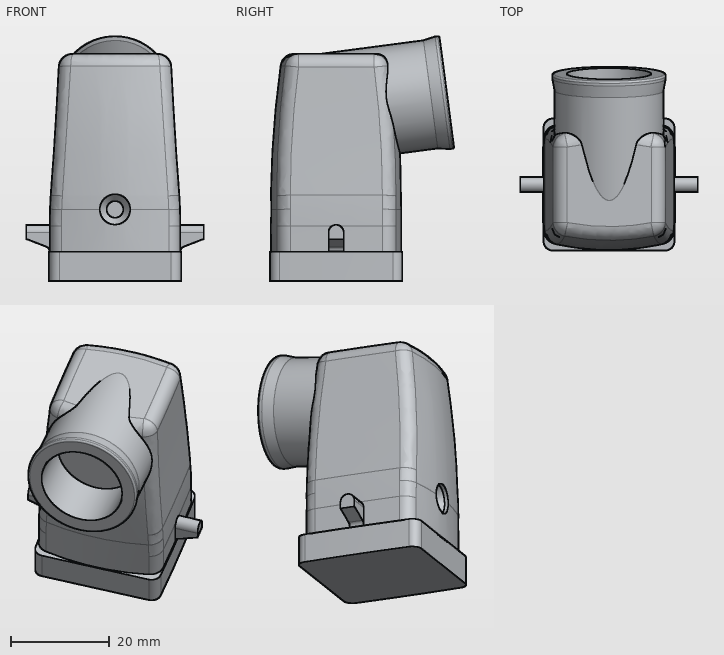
import cadquery as cq
import math

base_width = 26.9
base_depth = 26.8
base_height = 5.95
base_corner_radius = 2.0
side_bow_radius = 421.85

hood_height = 46.05
hood_half_width = 13.25
hood_half_depth = 13.25
front_bow_radius = 49.65
wall_sweep = 90.0
hood_corner_radius = 2.9
hood_top_fillet = 2.85
side_bend_start = 11.25
side_bend_end = 17.45
side_taper = math.radians(3.6)
front_curve_start = 14.55
front_curve_radius = 213.4

tube_tilt = 7.5
tube_radius = 11.05
tube_length = 26.3
rim_y = 22.45
rim_z = 38.25
rim_radius = 11.5
rim_round = 0.4
rim_band = 0.55
rim_flare = 2.45
bore_radius = 8.55
bore_depth = 10.9

pin_span = 36.0
pin_width = 3.1
pin_top = 11.4
pin_tip_bottom = 8.55
pin_slope = math.radians(21)
pin_root_radius = 1.0
pin_overlap = 2.0

recess_z = front_curve_start
recess_radius = 3.1
recess_floor_radius = 1.7
recess_straight_depth = 0.9
recess_depth = 2.7


def make_base():
    """Collar with two bowed sides and rounded corners."""
    half_x = base_width / 2
    half_y = base_depth / 2
    end_x = half_x - side_bow_radius + math.sqrt(side_bow_radius**2 - half_y**2)
    return (
        cq.Workplane("XY")
        .moveTo(-end_x, -half_y)
        .lineTo(end_x, -half_y)
        .threePointArc((half_x, 0), (end_x, half_y))
        .lineTo(-end_x, half_y)
        .threePointArc((-half_x, 0), (-end_x, -half_y))
        .close()
        .extrude(base_height)
        .edges("|Z")
        .fillet(base_corner_radius)
    )


def bowed_barrel(profile, half_size, bow_radius, side_angle):
    """Solid under a profile (distance, height) whose outer wall is bowed in plan.

    The profile is swept about a vertical axis lying bow_radius behind the crown
    of the wall, and turned to face the direction side_angle.
    """
    axis_x = half_size - bow_radius
    return (
        profile.revolve(wall_sweep, (axis_x, 0, 0), (axis_x, 1, 0))
        .rotate((axis_x, 0, 0), (axis_x, 0, 1), -wall_sweep / 2)
        .rotate((0, 0, 0), (0, 0, 1), side_angle)
    )


def side_profile():
    """Vertical wall, tangent bend, then a straight taper."""
    bend_radius = (side_bend_end - side_bend_start) / math.sin(side_taper)
    bend_x = hood_half_width - bend_radius * (1 - math.cos(side_taper))
    mid_x = hood_half_width - bend_radius * (1 - math.cos(side_taper / 2))
    mid_z = side_bend_start + bend_radius * math.sin(side_taper / 2)
    top_x = bend_x - (hood_height - side_bend_end) * math.tan(side_taper)
    return (
        cq.Workplane("XZ")
        .moveTo(-base_width, 0)
        .lineTo(hood_half_width, 0)
        .lineTo(hood_half_width, side_bend_start)
        .threePointArc((mid_x, mid_z), (bend_x, side_bend_end))
        .lineTo(top_x, hood_height)
        .lineTo(-base_width, hood_height)
        .close()
    )


def front_profile():
    """Vertical wall continued by one tangent arc up to the top."""
    curve_angle = math.asin((hood_height - front_curve_start) / front_curve_radius)
    mid_x = hood_half_depth - front_curve_radius * (1 - math.cos(curve_angle / 2))
    mid_z = front_curve_start + front_curve_radius * math.sin(curve_angle / 2)
    top_x = hood_half_depth - front_curve_radius * (1 - math.cos(curve_angle))
    return (
        cq.Workplane("XZ")
        .moveTo(-hood_half_depth, 0)
        .lineTo(hood_half_depth, 0)
        .lineTo(hood_half_depth, front_curve_start)
        .threePointArc((mid_x, mid_z), (top_x, hood_height))
        .lineTo(-hood_half_depth, hood_height)
        .close()
    )


def make_hood():
    """Common volume of four bowed walls, with rounded corners and top edge."""
    hood = bowed_barrel(side_profile(), hood_half_width, side_bow_radius, 0)
    hood = hood.intersect(bowed_barrel(side_profile(), hood_half_width, side_bow_radius, 180))
    for side_angle in (-90, 90):
        wall = bowed_barrel(front_profile(), hood_half_depth, front_bow_radius, side_angle)
        hood = hood.intersect(wall)
    between_faces = cq.selectors.BoxSelector(
        (-base_width, -base_depth, base_height / 2),
        (base_width, base_depth, hood_height - hood_top_fillet),
    )
    hood = hood.edges(between_faces).fillet(hood_corner_radius)
    return hood.faces(">Z").edges().fillet(hood_top_fillet)


def make_tube():
    """Round tube with a flared, rounded rim, tilted up towards the rear."""
    band_end = rim_round + rim_band
    flare_end = band_end + rim_flare
    tube = (
        cq.Workplane("XY")
        .lineTo(rim_radius - rim_round, 0)
        .radiusArc((rim_radius, -rim_round), rim_round)
        .lineTo(rim_radius, -band_end)
        .lineTo(tube_radius, -flare_end)
        .lineTo(tube_radius, -tube_length)
        .lineTo(0, -tube_length)
        .close()
        .revolve(360, (0, 0, 0), (0, 1, 0))
    )
    return place_on_rim(tube)


def make_bore():
    """Blind round opening in the rim face."""
    bore = cq.Workplane("XZ").circle(bore_radius).extrude(bore_depth)
    return place_on_rim(bore)


def place_on_rim(shape):
    """Move a shape built along -Y from the origin onto the tilted rim face."""
    return shape.rotate((0, 0, 0), (1, 0, 0), tube_tilt).translate((0, rim_y, rim_z))


def make_pin():
    """Locking pin on the right side: round top, sloping underside, blended root."""
    tip_x = pin_span / 2
    inner_x = hood_half_width - pin_overlap
    arc_start_x = hood_half_width + pin_root_radius * (1 - math.sin(pin_slope))
    arc_start_z = pin_tip_bottom - (tip_x - arc_start_x) * math.tan(pin_slope)
    arc_end_z = arc_start_z - pin_root_radius * math.cos(pin_slope)
    return (
        cq.Workplane("XZ")
        .moveTo(inner_x, pin_top)
        .lineTo(tip_x, pin_top)
        .lineTo(tip_x, pin_tip_bottom)
        .lineTo(arc_start_x, arc_start_z)
        .radiusArc((hood_half_width, arc_end_z), -pin_root_radius)
        .lineTo(inner_x, arc_end_z)
        .close()
        .extrude(pin_width / 2, both=True)
        .intersect(pin_outline(tip_x))
    )


def pin_outline(length):
    """Bar along X with straight sides and a half-round top, as wide as the pin."""
    radius = pin_width / 2
    return (
        cq.Workplane("YZ")
        .moveTo(-radius, 0)
        .lineTo(radius, 0)
        .lineTo(radius, pin_top - radius)
        .threePointArc((0, pin_top), (-radius, pin_top - radius))
        .close()
        .extrude(length)
    )


def make_recess():
    """Round recess in the front face: straight wall, then a cone to a flat floor."""
    front_y = -hood_half_depth
    return (
        cq.Workplane("XY")
        .moveTo(0, front_y - recess_depth)
        .lineTo(recess_radius, front_y - recess_depth)
        .lineTo(recess_radius, front_y + recess_straight_depth)
        .lineTo(recess_floor_radius, front_y + recess_depth)
        .lineTo(0, front_y + recess_depth)
        .close()
        .revolve(360, (0, 0, 0), (0, 1, 0))
        .translate((0, 0, recess_z))
    )


right_pin = make_pin()
left_pin = right_pin.mirror("YZ")

result = (
    make_base()
    .union(make_hood())
    .union(make_tube())
    .union(right_pin)
    .union(left_pin)
    .cut(make_bore())
    .cut(make_recess())
)